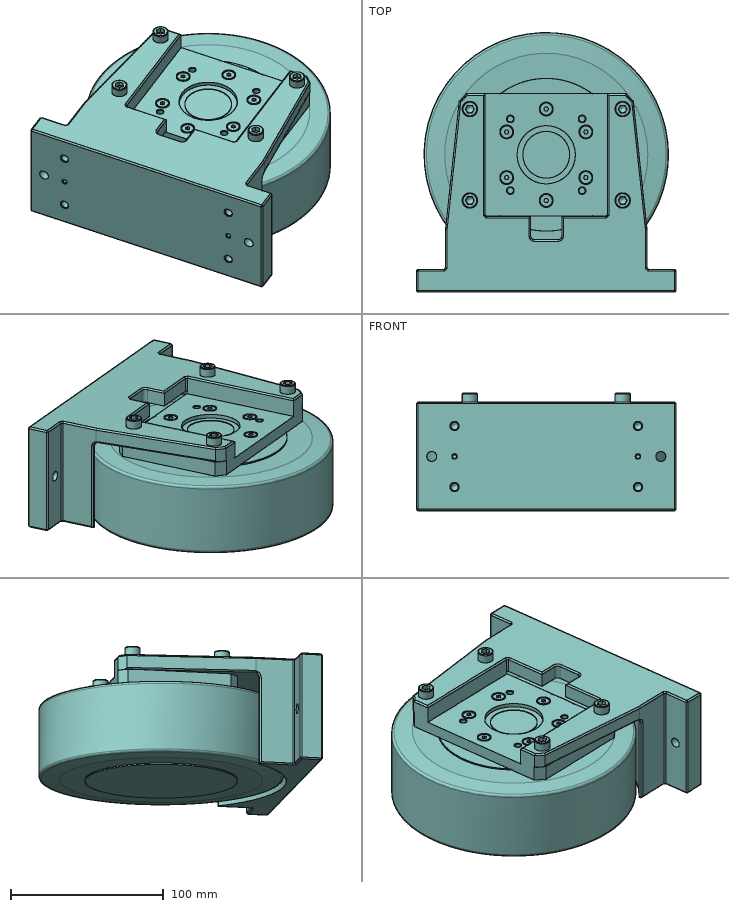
import cadquery as cq
import math

base_width = 170.0
base_thickness = 15.0
web_width = 132.0
taper_start_y = 40.6
arm_end_width = 113.9
arm_corner = 5.0
bracket_top = 71.0
arm_thickness = 10.0
arm_underside = bracket_top - arm_thickness
edge_chamfer = 1.0

axis_y = 90.0
plate_size_y = 79.9
plate_end_y = axis_y + plate_size_y / 2
plate_thickness = 9.9
plate_corner = 5.5
plate_floor_drop = 2.0
plate_bottom = arm_underside - plate_thickness
plate_floor = arm_underside - plate_floor_drop

wheel_radius = 160.0 / 2
wheel_flat_radius = 66.5
wheel_bottom = 0.8
wheel_top = 50.3
wheel_taper = 1.2
wheel_rim_fillet = 1.7
boss_diameter = 100.0

clearance_radius = 82.0
web_back_y = 38.0
clearance_fillet = 4.0
window_width = 79.9
window_corner = 1.0
window_gap = 0.3
slot_width = 20.4
slot_end_y = 34.3
slot_corner = 2.5

pilot_diameter = 38.0
pilot_depth = 2.5
pilot_inner_diameter = 30.6
pilot_inner_depth = 0.3
plate_screw_circle_radius = 30.0
plate_screw_count = 6
plate_screw_head_diameter = 8.0
plate_screw_seat_diameter = 9.0
plate_screw_groove_depth = 0.5
plate_screw_socket_width = 2.5
plate_screw_socket_depth = 2.0
plate_hole_offset = 23.5
plate_hole_diameter = 4.0
plate_hole_mouth_diameter = 5.0

cap_screw_x = 50.0
cap_screw_diameter = 10.0
cap_screw_height = 6.0
cap_screw_chamfer = 0.5
cap_screw_socket_width = 5.0
cap_screw_socket_depth = 3.0

front_hole_x = 60.0
front_hole_z = bracket_top / 2
front_hole_spacing_z = 40.0
front_hole_diameter = 5.0
front_hole_mouth_diameter = 6.0
front_hole_depth = 17.0
small_hole_diameter = 2.5
small_hole_mouth_diameter = 3.5
small_hole_depth = 10.2
through_hole_x = 75.0
through_hole_diameter = 6.5
drill_half_angle = math.radians(59)


def centred_points(dx, dy):
    return [(x, axis_y + y) for x in (-dx, dx) for y in (-dy, dy)]


def cylinder(diameter, z_bottom, z_top, points):
    return (
        cq.Workplane("XY").workplane(offset=z_bottom).pushPoints(points)
        .circle(diameter / 2).extrude(z_top - z_bottom)
    )


def hexagon(width, z_bottom, z_top, points):
    corner_diameter = width / math.cos(math.pi / 6)
    return (
        cq.Workplane("XY").workplane(offset=z_bottom).pushPoints(points)
        .polygon(6, corner_diameter).extrude(z_top - z_bottom)
    )


def drilled_hole(diameter, mouth_diameter, depth, tip_depth):
    radius = diameter / 2
    mouth_radius = mouth_diameter / 2
    profile = [
        (0, 0),
        (mouth_radius, 0),
        (radius, radius - mouth_radius),
        (radius, -depth),
        (0, -depth - tip_depth),
    ]
    return cq.Workplane("XZ").polyline(profile).close().revolve(360, (0, 0, 0), (0, 1, 0))


def drill_tip(diameter):
    return diameter / 2 / math.tan(drill_half_angle)


def mirrored_outline(right_side):
    left_side = [(-x, y) for x, y in reversed(right_side)]
    return cq.Workplane("XY").polyline(right_side + left_side).close()


def make_outer_block():
    block = mirrored_outline([
        (base_width / 2, 0),
        (base_width / 2, base_thickness),
        (web_width / 2, base_thickness),
        (web_width / 2, taper_start_y),
        (arm_end_width / 2, plate_end_y - arm_corner),
        (arm_end_width / 2 - arm_corner, plate_end_y),
    ]).extrude(bracket_top)
    flange_corners = cq.selectors.BoxSelector(
        (-base_width, base_thickness - edge_chamfer, 0),
        (base_width, base_thickness + edge_chamfer, bracket_top),
    )
    return block.edges("|Z").edges(flange_corners).chamfer(edge_chamfer)


def make_wheel_clearance():
    under_arm = (
        cq.Workplane("XY").box(base_width, 2 * axis_y, arm_underside, (True, False, False))
        .translate((0, web_back_y, 0))
        .edges(">Z and <Y").fillet(clearance_fillet)
    )
    return under_arm.union(cylinder(2 * clearance_radius, 0, arm_underside, [(0, axis_y)]))


def make_openings():
    cut_height = 2 * arm_thickness
    cut_bottom = bracket_top - cut_height
    window = (
        cq.Workplane("XY").box(window_width, 2 * plate_size_y, cut_height, (True, False, False))
        .edges("|Z").chamfer(window_corner)
        .translate((0, axis_y - plate_size_y / 2 - window_gap, cut_bottom))
    )
    slot = (
        cq.Workplane("XY").box(slot_width, plate_size_y, cut_height, (True, False, False))
        .edges("|Z").fillet(slot_corner)
        .translate((0, slot_end_y, cut_bottom))
    )
    return window.union(slot)


def make_recess_bevel(turn):
    bevel = (
        cq.Workplane("XY")
        .box(2 * edge_chamfer, 2 * axis_y, arm_underside + 2 * edge_chamfer, (True, False, False))
        .edges(">Z and <Y").fillet(clearance_fillet + edge_chamfer)
        .faces("<X").chamfer(edge_chamfer)
        .translate((web_width / 2, web_back_y - edge_chamfer, -edge_chamfer))
    )
    pivot_bottom = (web_width / 2, taper_start_y, 0)
    pivot_top = (web_width / 2, taper_start_y, 1)
    return bevel.rotate(pivot_bottom, pivot_top, turn)


def make_bracket():
    bracket = make_outer_block().cut(make_openings())
    bracket = bracket.faces(">Z or <Z or <Y").edges().chamfer(edge_chamfer)
    bracket = bracket.cut(make_wheel_clearance())

    taper_width = (web_width - arm_end_width) / 2
    taper_length = plate_end_y - arm_corner - taper_start_y
    taper_angle = math.degrees(math.atan2(taper_width, taper_length))
    for turn in (0, taper_angle):
        bevel = make_recess_bevel(turn)
        bracket = bracket.cut(bevel).cut(bevel.mirror("YZ"))
    return bracket


def make_wheel():
    wheel = (
        cq.Workplane("XZ")
        .polyline([
            (0, wheel_bottom),
            (wheel_flat_radius, wheel_bottom),
            (wheel_radius, wheel_bottom + wheel_taper),
            (wheel_radius, wheel_top - wheel_taper),
            (wheel_flat_radius, wheel_top),
            (0, wheel_top),
        ])
        .close().revolve(360, (0, 0, 0), (0, 1, 0))
    )
    rim = cq.selectors.RadiusNthSelector(-1)
    wheel = wheel.edges(rim).fillet(wheel_rim_fillet).translate((0, axis_y, 0))
    return wheel.union(cylinder(boss_diameter, 0, plate_bottom, [(0, axis_y)]))


def make_plate():
    plate = (
        cq.Workplane("XY")
        .box(arm_end_width, plate_size_y, plate_thickness, (True, True, False))
        .edges("|Z").chamfer(plate_corner)
        .translate((0, axis_y, plate_bottom))
    )
    floor_recess = (
        cq.Workplane("XY").box(window_width, plate_size_y, plate_floor_drop, (True, True, False))
        .translate((0, axis_y, plate_floor))
    )
    plate = plate.cut(floor_recess)
    pilot_floor = plate_floor - pilot_depth
    pilot_inner_floor = pilot_floor - pilot_inner_depth
    plate = plate.cut(cylinder(pilot_diameter, pilot_floor, plate_floor, [(0, axis_y)]))
    plate = plate.cut(cylinder(pilot_inner_diameter, pilot_inner_floor, pilot_floor, [(0, axis_y)]))

    screw_points = [
        (
            plate_screw_circle_radius * math.sin(angle),
            axis_y + plate_screw_circle_radius * math.cos(angle),
        )
        for angle in (math.tau * i / plate_screw_count for i in range(plate_screw_count))
    ]
    gap_bottom = plate_floor - plate_screw_groove_depth
    seats = cylinder(plate_screw_seat_diameter, gap_bottom, plate_floor, screw_points)
    heads = cylinder(plate_screw_head_diameter, gap_bottom, plate_floor, screw_points)
    socket_bottom = plate_floor - plate_screw_socket_depth
    sockets = hexagon(plate_screw_socket_width, socket_bottom, plate_floor, screw_points)
    plate = plate.cut(seats.cut(heads)).cut(sockets)

    for x, y in centred_points(plate_hole_offset, plate_hole_offset):
        hole = drilled_hole(plate_hole_diameter, plate_hole_mouth_diameter, plate_floor - plate_bottom, 0)
        plate = plate.cut(hole.translate((x, y, plate_floor)))
    return plate


def make_cap_screws():
    points = centred_points(cap_screw_x, plate_screw_circle_radius)
    head_top = bracket_top + cap_screw_height
    heads = cylinder(cap_screw_diameter, bracket_top, head_top, points)
    heads = heads.faces(">Z").edges().chamfer(cap_screw_chamfer)
    socket_bottom = head_top - cap_screw_socket_depth
    heads = heads.cut(hexagon(cap_screw_socket_width, socket_bottom, head_top, points))
    tip_depth = drill_tip(cap_screw_socket_width)
    tip = cq.Solid.makeCone(0, cap_screw_socket_width / 2, tip_depth)
    for x, y in points:
        heads = heads.cut(cq.Workplane(tip.translate(cq.Vector(x, y, socket_bottom - tip_depth))))
    return heads


def make_front_holes():
    threaded = drilled_hole(
        front_hole_diameter, front_hole_mouth_diameter, front_hole_depth, drill_tip(front_hole_diameter))
    small = drilled_hole(
        small_hole_diameter, small_hole_mouth_diameter, small_hole_depth, drill_tip(small_hole_diameter))
    through = cq.Workplane("XY").circle(through_hole_diameter / 2).extrude(-base_thickness)
    holes = cq.Workplane("XY")
    for side in (-1, 1):
        for z_offset in (-front_hole_spacing_z / 2, front_hole_spacing_z / 2):
            holes = holes.add(threaded.translate((side * front_hole_x, z_offset, 0)))
        holes = holes.add(small.translate((side * front_hole_x, 0, 0)))
        holes = holes.add(through.translate((side * through_hole_x, 0, 0)))
    return holes.combine().rotate((0, 0, 0), (1, 0, 0), 90).translate((0, 0, front_hole_z))


bracket = make_bracket().cut(make_front_holes())
result = bracket.union(make_plate()).union(make_wheel()).union(make_cap_screws())